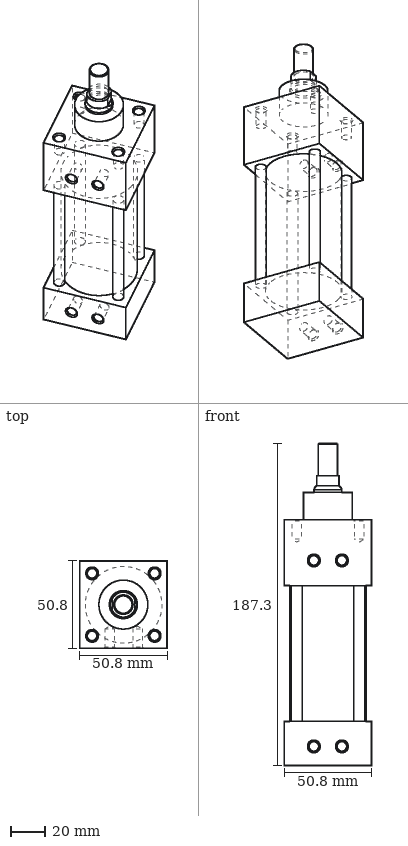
import cadquery as cq
import math

TOTAL_HEIGHT = 187.3
REAR_CAP_TOP = 25.9
HEAD_BOTTOM = 104.7
HEAD_TOP = 143.1
NOSE_TOP = 158.8
COLLAR_TOP = 160.3
SHOULDER_BOTTOM = 162.8
SHOULDER_TOP = 168.5

BLOCK_SIDE = 50.8
TUBE_DIAMETER = 44.5
NOSE_DIAMETER = 28.5
TIE_ROD_DIAMETER = 6.4
TIE_ROD_SPACING = 36.3

GLAND_DIAMETER = 47.5
NUT_DIAMETER = 10.3

HOLE_DIAMETER = 5.6
HOLE_MOUTH_DIAMETER = 7.3
HOLE_DEPTH = 11.2
DRILL_POINT_ANGLE = 118.0
PORT_SPACING = 16.3
REAR_PORT_HEIGHT = 11.2
HEAD_PORT_HEIGHT = 119.3

ROD_DIAMETER = 11.2
ROD_TIP_CHAMFER = 0.5
SHOULDER_DIAMETER = 14.6
COLLAR_DIAMETER = 16.3
WRENCH_FLAT_WIDTH = 13.1


def vertical_cylinder(diameter, bottom, top):
    return cq.Workplane("XY").workplane(offset=bottom).circle(diameter / 2).extrude(top - bottom)


def square_block(bottom, top):
    return cq.Workplane("XY").workplane(offset=bottom).rect(BLOCK_SIDE, BLOCK_SIDE).extrude(top - bottom)


def corner_points():
    half = TIE_ROD_SPACING / 2
    return [(x, y) for x in (-half, half) for y in (-half, half)]


def tapped_hole_cutter():
    """Cutter with its mouth at the origin, pointing down -Z."""
    hole_radius = HOLE_DIAMETER / 2
    mouth_radius = HOLE_MOUTH_DIAMETER / 2
    countersink_depth = mouth_radius - hole_radius
    point_length = hole_radius / math.tan(math.radians(DRILL_POINT_ANGLE / 2))
    profile = [
        (0, 0),
        (mouth_radius, 0),
        (hole_radius, -countersink_depth),
        (hole_radius, -HOLE_DEPTH),
        (0, -HOLE_DEPTH - point_length),
    ]
    return cq.Workplane("XZ").polyline(profile).close().revolve(360, (0, 0), (0, 1))


def make_head():
    """Front block with the nose; the flush gland and nuts stay outlined on its front face."""
    block = square_block(HEAD_BOTTOM, HEAD_TOP)
    gland = vertical_cylinder(GLAND_DIAMETER, HEAD_BOTTOM, HEAD_TOP)
    nose = vertical_cylinder(NOSE_DIAMETER, HEAD_TOP, NOSE_TOP)
    nuts = [
        vertical_cylinder(NUT_DIAMETER, HEAD_BOTTOM, HEAD_TOP).translate((x, y, 0))
        for x, y in corner_points()
    ]
    block = block.cut(gland)
    for nut in nuts:
        block = block.cut(nut)
        gland = gland.cut(nut)

    head = block.union(gland, clean=False).union(nose, clean=False)
    for nut in nuts:
        head = head.union(nut, clean=False)
    return head


def make_housing():
    housing = square_block(0, REAR_CAP_TOP)
    housing = housing.union(vertical_cylinder(TUBE_DIAMETER, REAR_CAP_TOP, HEAD_BOTTOM))
    for x, y in corner_points():
        tie_rod = vertical_cylinder(TIE_ROD_DIAMETER, REAR_CAP_TOP, HEAD_BOTTOM).translate((x, y, 0))
        housing = housing.union(tie_rod)
    housing = housing.union(make_head(), clean=False)

    for x, y in corner_points():
        housing = housing.cut(tapped_hole_cutter().translate((x, y, HEAD_TOP)), clean=False)

    port = tapped_hole_cutter().rotate((0, 0, 0), (1, 0, 0), 90)
    for z in (REAR_PORT_HEIGHT, HEAD_PORT_HEIGHT):
        for x in (-PORT_SPACING / 2, PORT_SPACING / 2):
            housing = housing.cut(port.translate((x, -BLOCK_SIDE / 2, z)), clean=False)
    return housing


def wrench_flat_cutter():
    """Cutter for the +X flat; its lower end runs out at 45 degrees."""
    flat = WRENCH_FLAT_WIDTH / 2
    reach = COLLAR_DIAMETER / 2
    profile = [
        (flat, SHOULDER_TOP),
        (flat, SHOULDER_BOTTOM),
        (flat + reach, SHOULDER_BOTTOM - reach),
        (flat + reach, SHOULDER_TOP),
    ]
    return cq.Workplane("XZ").polyline(profile).close().extrude(COLLAR_DIAMETER / 2, both=True)


def make_piston_rod():
    rod_radius = ROD_DIAMETER / 2
    collar_radius = COLLAR_DIAMETER / 2
    shoulder_radius = SHOULDER_DIAMETER / 2
    profile = [
        (0, NOSE_TOP),
        (collar_radius, NOSE_TOP),
        (collar_radius, COLLAR_TOP),
        (shoulder_radius, SHOULDER_BOTTOM),
        (shoulder_radius, SHOULDER_TOP),
        (rod_radius, SHOULDER_TOP),
        (rod_radius, TOTAL_HEIGHT - ROD_TIP_CHAMFER),
        (rod_radius - ROD_TIP_CHAMFER, TOTAL_HEIGHT),
        (0, TOTAL_HEIGHT),
    ]
    rod = cq.Workplane("XZ").polyline(profile).close().revolve(360, (0, 0), (0, 1))
    flat = wrench_flat_cutter()
    return rod.cut(flat).cut(flat.mirror("YZ"))


housing = make_housing()
piston_rod = make_piston_rod()

result = cq.Compound.makeCompound([housing.val(), piston_rod.val()])